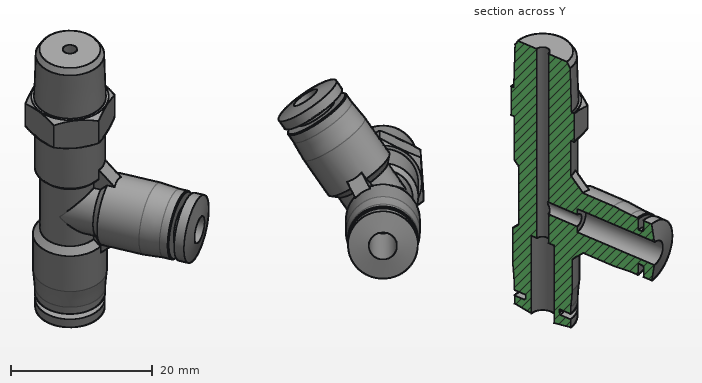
import cadquery as cq
import math


stem_diameter = 8.5
stem_half_length = 5.1

thread_end_z = 26.9
thread_chamfer_length = 0.9
thread_face_diameter = 8.6
thread_small_diameter = 9.73
thread_large_diameter = 10.2
hex_top_z = 18.45
hex_bottom_z = 13.4
hex_across_corners = 12.83
hex_chamfer_diameter = 10.95
hex_chamfer_angle = 30
shank_diameter = 10.0
shank_chamfer = (shank_diameter - stem_diameter) / 2

port_diameter = 10.5
port_chamfer = (port_diameter - stem_diameter) / 2
taper_start = 12.4
taper_end = 15.4
sleeve_diameter = 10.0
sleeve_end = 16.8
sleeve_chamfer = 0.15
neck_diameter = 5.97
neck_straight_end = 17.3
neck_flare_diameter = 6.3
collar_diameter = 9.9
collar_start = 17.65
collar_edge = 19.12
port_end = 19.6

tube_diameter = 3.97
bore_diameter = 2.0
socket_bottom = stem_half_length + port_chamfer

web_thickness = 2.5
web_reach = 12.35


def revolve_profile(profile):
    """Revolve (radius, height) corners about Z, closed along the axis."""
    bottom = profile[0][1]
    top = profile[-1][1]
    outline = [(0, bottom)] + profile + [(0, top)]
    return cq.Workplane("XZ").polyline(outline).close().revolve(360, (0, 0, 0), (0, 1, 0))


def make_port():
    """Push-in port that starts at the origin and points along +Z."""
    stem_radius = stem_diameter / 2
    port_radius = port_diameter / 2
    sleeve_radius = sleeve_diameter / 2
    neck_radius = neck_diameter / 2
    collar_radius = collar_diameter / 2
    return revolve_profile([
        (stem_radius, 0),
        (stem_radius, stem_half_length),
        (port_radius, stem_half_length + port_chamfer),
        (port_radius, taper_start),
        (sleeve_radius, taper_end),
        (sleeve_radius, sleeve_end - sleeve_chamfer),
        (sleeve_radius - sleeve_chamfer, sleeve_end),
        (neck_radius, sleeve_end),
        (neck_radius, neck_straight_end),
        (neck_flare_diameter / 2, collar_start),
        (collar_radius, collar_start),
        (collar_radius, collar_edge),
        (tube_diameter / 2, port_end),
    ])


def make_port_bore():
    """Tube socket and passage of a port, along +Z from the origin."""
    passage = cq.Workplane("XY").circle(bore_diameter / 2).extrude(port_end)
    socket = (
        cq.Workplane("XY")
        .workplane(offset=socket_bottom)
        .circle(tube_diameter / 2)
        .extrude(port_end - socket_bottom)
    )
    return passage.union(socket)


def make_male_end():
    """Stem, shank and tapered thread envelope above the origin."""
    stem_radius = stem_diameter / 2
    shank_radius = shank_diameter / 2
    return revolve_profile([
        (stem_radius, 0),
        (stem_radius, stem_half_length),
        (shank_radius, stem_half_length + shank_chamfer),
        (shank_radius, hex_top_z),
        (thread_large_diameter / 2, hex_top_z),
        (thread_small_diameter / 2, thread_end_z - thread_chamfer_length),
        (thread_face_diameter / 2, thread_end_z),
    ])


def make_hex():
    """Hexagon with two corners on the Y axis, its corners chamfered at both faces."""
    hexagon = (
        cq.Workplane("XY")
        .workplane(offset=hex_bottom_z)
        .transformed(rotate=(0, 0, 90))
        .polygon(6, hex_across_corners)
        .extrude(hex_top_z - hex_bottom_z)
    )
    face_radius = hex_chamfer_diameter / 2
    corner_radius = hex_across_corners / 2
    chamfer_drop = (corner_radius - face_radius) * math.tan(math.radians(hex_chamfer_angle))
    chamfer_envelope = revolve_profile([
        (face_radius, hex_bottom_z),
        (corner_radius, hex_bottom_z + chamfer_drop),
        (corner_radius, hex_top_z - chamfer_drop),
        (face_radius, hex_top_z),
    ])
    return hexagon.intersect(chamfer_envelope)


def make_webs():
    """Triangular plate whose 45 degree edges form the webs above and below the branch."""
    return (
        cq.Workplane("XZ")
        .polyline([(0, -web_reach), (web_reach, 0), (0, web_reach)])
        .close()
        .extrude(web_thickness / 2, both=True)
    )


def aim_at_branch(shape):
    """Turn a shape from +Z to +X."""
    return shape.rotate((0, 0, 0), (0, 1, 0), 90)


def aim_down(shape):
    """Turn a shape from +Z to -Z."""
    return shape.rotate((0, 0, 0), (0, 1, 0), 180)


port_directions = (aim_at_branch, aim_down)

body = make_male_end().union(make_hex()).union(make_webs())
for aim in port_directions:
    body = body.union(aim(make_port()))

for aim in port_directions:
    body = body.cut(aim(make_port_bore()))

male_bore = cq.Workplane("XY").circle(bore_diameter / 2).extrude(thread_end_z)
result = body.cut(male_bore)